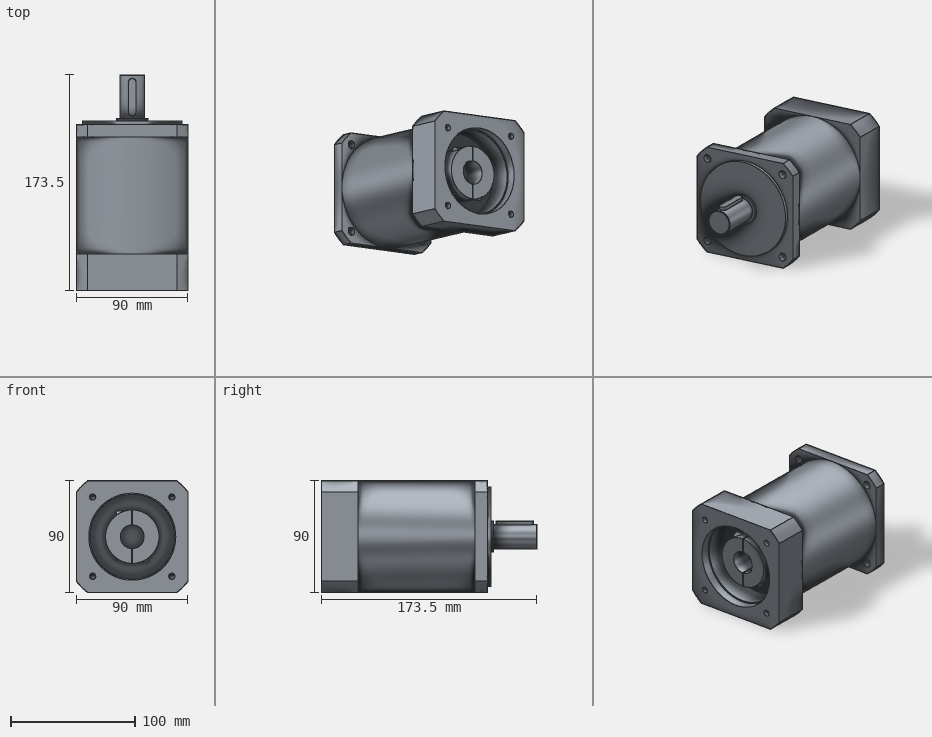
import cadquery as cq
import math


square_width = 90.0
corner_diameter = 115.0
output_flange_thickness = 10.0
output_hole_circle = 100.0
output_hole_diameter = 6.5

barrel_diameter = 90.0
barrel_length = 94.0

motor_flange_length = 29.5
motor_hole_circle = 90.0
motor_hole_diameter = 5.0
motor_hole_depth = 15.0
drill_point_angle = 118.0
pilot_bore_diameter = 70.0
pilot_bore_depth = 8.0
cavity_diameter = 68.0
cavity_depth = 27.5

pilot_diameter = 80.0
pilot_height = 3.0
collar_diameter = 25.0
collar_height = 2.0
shaft_diameter = 20.0
shaft_length = 35.0
shaft_chamfer = 0.5
key_width = 6.0
key_length = 30.0
key_top = 12.5
key_end_gap = 3.0

hub_diameter = 43.0
hub_recess = 9.0
hub_bore_diameter = 19.0
slit_width = 0.8
slit_depth = 15.0
screw_offset = 15.75
screw_setback = 7.5
screw_head_diameter = 9.5
screw_shank_diameter = 6.0
screw_head_reach = 12.8
screw_shank_reach = 13.4

barrel_front = -output_flange_thickness
motor_flange_start = barrel_front - barrel_length
motor_face = motor_flange_start - motor_flange_length
cavity_floor = motor_face + cavity_depth
hub_face = motor_face + hub_recess
pilot_face = pilot_height
shaft_shoulder = pilot_face + collar_height
shaft_tip = shaft_shoulder + shaft_length


def section(y):
    """Sketch plane across the axis at y; extruding runs toward -Y."""
    return cq.Workplane("XZ", origin=(0, y, 0))


def cylinder(diameter, y_start, y_end):
    """Cylinder on the gearbox axis between two stations, y_start > y_end."""
    return section(y_start).circle(diameter / 2).extrude(y_start - y_end)


def flange(y_start, length):
    """Square block whose corners are turned to a common diameter."""
    block = section(y_start).rect(square_width, square_width).extrude(length)
    return block.intersect(cylinder(corner_diameter, y_start, y_start - length))


def corner_points(hole_circle):
    """Four points on the diagonals at a given hole circle."""
    offset = hole_circle / 2 / math.sqrt(2)
    return [(x, z) for x in (-offset, offset) for z in (-offset, offset)]


def output_flange():
    plate = flange(0, output_flange_thickness)
    holes = (
        section(0)
        .pushPoints(corner_points(output_hole_circle))
        .circle(output_hole_diameter / 2)
        .extrude(output_flange_thickness)
    )
    return plate.cut(holes)


def drilled_hole(x, z):
    """Blind hole with a conical drill point, entering from the motor face."""
    radius = motor_hole_diameter / 2
    point_height = radius / math.tan(math.radians(drill_point_angle / 2))
    profile = [
        (0, 0),
        (radius, 0),
        (radius, motor_hole_depth),
        (0, motor_hole_depth + point_height),
    ]
    hole = cq.Workplane("XY").polyline(profile).close().revolve(360, (0, 0), (0, 1))
    return hole.translate((x, motor_face, z))


def motor_flange():
    block = flange(motor_flange_start, motor_flange_length)
    block = block.cut(cylinder(pilot_bore_diameter, motor_face + pilot_bore_depth, motor_face))
    block = block.cut(cylinder(cavity_diameter, cavity_floor, motor_face))
    for x, z in corner_points(motor_hole_circle):
        block = block.cut(drilled_hole(x, z))
    return block


def output_shaft():
    shaft = cylinder(shaft_diameter, shaft_tip, shaft_shoulder)
    shaft = shaft.faces(">Y").chamfer(shaft_chamfer)
    key_center = shaft_tip - key_end_gap - key_length / 2
    key = (
        cq.Workplane("XY")
        .center(0, key_center)
        .slot2D(key_length, key_width, 90)
        .extrude(key_top)
    )
    return shaft.union(key)


def gearbox():
    """Housing with both flanges and the keyed output shaft, as one body."""
    body = output_flange()
    body = body.union(cylinder(pilot_diameter, pilot_face, 0))
    body = body.union(cylinder(collar_diameter, shaft_shoulder, pilot_face))
    body = body.union(output_shaft())
    body = body.union(cylinder(barrel_diameter, barrel_front, motor_flange_start))
    return body.union(motor_flange())


def clamp_screw():
    """Screw along X above the bore with its head toward -X; the ends stand out of the hub."""
    y = hub_face + screw_setback
    plane = cq.Workplane("YZ", origin=(0, y, screw_offset))
    head = plane.circle(screw_head_diameter / 2).extrude(-screw_head_reach)
    shank = plane.circle(screw_shank_diameter / 2).extrude(screw_shank_reach)
    return head.union(shank)


def clamp_hub():
    """Hub seated on the cavity floor, slit from the motor side and joined by two opposed screws."""
    hub = cylinder(hub_diameter, cavity_floor, hub_face)
    hub = hub.cut(cylinder(hub_bore_diameter, cavity_floor, hub_face))
    slit = section(hub_face + slit_depth).rect(slit_width, hub_diameter).extrude(slit_depth)
    hub = hub.cut(slit)
    screw = clamp_screw()
    for turn in (0, 180):
        hub = hub.union(screw.rotate((0, 0, 0), (0, 1, 0), turn))
    return hub


result = cq.Compound.makeCompound([gearbox().val(), clamp_hub().val()])